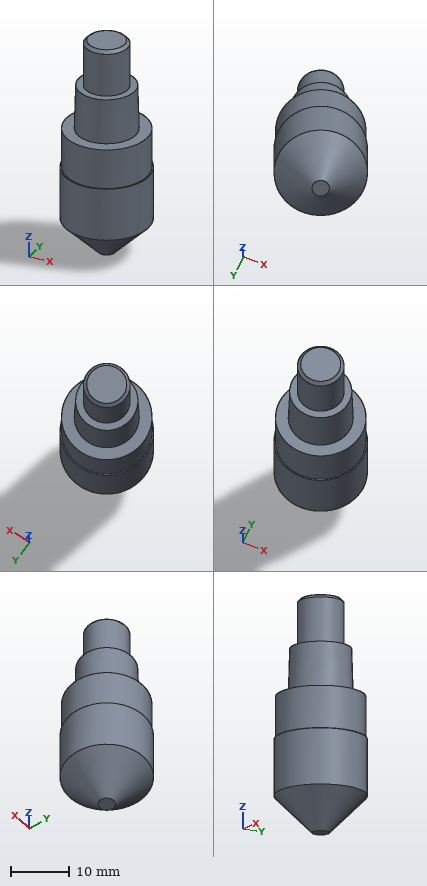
import cadquery as cq

overall_height = 41.25
nose_height = 6.5
head_top = 16.5
collar_top = 24.05
taper_top = 32.5

head_radius = 8.0
nose_flat_radius = head_radius - nose_height
collar_radius = 7.75
taper_bottom_radius = 5.55
taper_top_radius = 5.32
stem_radius = 4.0
stem_chamfer = 0.58


def revolve_profile(points):
    """Revolve a closed (radius, height) outline about the Z axis."""
    return cq.Workplane("XZ").polyline(points).close().revolve(360, (0, 0), (0, 1))


def make_head():
    """Cylindrical head with a conical nose, flat at its tip."""
    return revolve_profile([
        (0, 0),
        (nose_flat_radius, 0),
        (head_radius, nose_height),
        (head_radius, head_top),
        (0, head_top),
    ])


def make_shank():
    """Collar, tapered shoulder and chamfered stem, seated on the head."""
    return revolve_profile([
        (0, head_top),
        (collar_radius, head_top),
        (collar_radius, collar_top),
        (taper_bottom_radius, collar_top),
        (taper_top_radius, taper_top),
        (stem_radius, taper_top),
        (stem_radius, overall_height - stem_chamfer),
        (stem_radius - stem_chamfer, overall_height),
        (0, overall_height),
    ])


head = make_head()
shank = make_shank()

result = cq.Compound.makeCompound([head.val(), shank.val()])